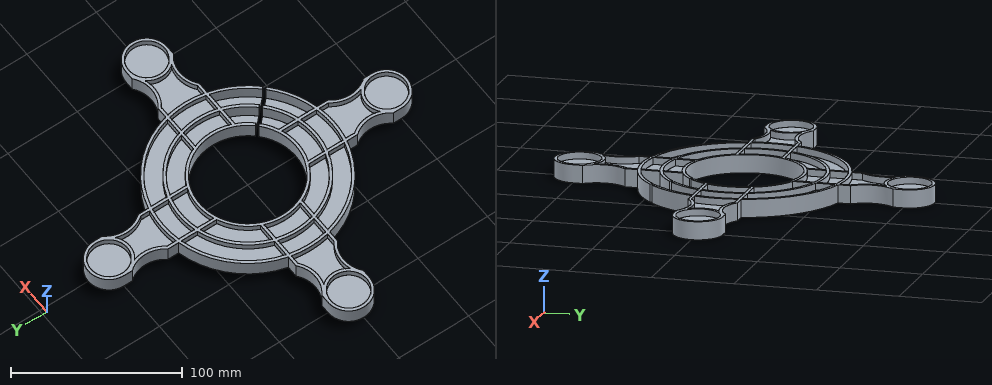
import cadquery as cq
import math

span = 230.0
height = 11.0
wall = 2.0

pocket_depth = 4.1
floor_z = height - pocket_depth
split_floor_z = 2.0

pad_pocket_radius = 26.0 / 2
pad_radius = pad_pocket_radius + wall
pad_distance = span / 2 - pad_radius

bore_radius = 34.5
ring_radius = 62.5
bore_wall_radius = bore_radius + wall
middle_wall_radius = (bore_wall_radius + ring_radius) / 2
ring_wall_radii = [bore_wall_radius, middle_wall_radius, ring_radius]

arm_half_width = pad_radius
neck_center = 81.2
neck_half_length = 12.9
scallop_radius = 20.0
scallop_center_y = arm_half_width + math.sqrt(scallop_radius**2 - neck_half_length**2)

split_width = 2.0
split_angle = -45
arm_angles = [0, 90, 180, 270]


def disc(radius, z_bottom, z_top, x=0):
    """Upright cylinder centred at distance x along the X axis."""
    return cq.Workplane("XY", origin=(x, 0, z_bottom)).circle(radius).extrude(z_top - z_bottom)


def ring_wall(outer_radius, z_bottom):
    """Circular wall standing from z_bottom up to the top face."""
    return disc(outer_radius, z_bottom, height).cut(disc(outer_radius - wall, z_bottom, height))


def arm_strip(half_width, neck_cut_radius, z_bottom, z_top):
    """Straight arm from the part's centre to the pad centre, scalloped on both sides."""
    strip = (
        cq.Workplane("XY", origin=(pad_distance / 2, 0, z_bottom))
        .rect(pad_distance, 2 * half_width)
        .extrude(z_top - z_bottom)
    )
    scallops = (
        cq.Workplane("XY", origin=(neck_center, 0, z_bottom))
        .pushPoints([(0, scallop_center_y), (0, -scallop_center_y)])
        .circle(neck_cut_radius)
        .extrude(z_top - z_bottom)
    )
    return strip.cut(scallops)


def around(body):
    """Union of the body repeated at every arm angle."""
    copies = cq.Workplane("XY")
    for angle in arm_angles:
        copies = copies.union(body.rotate((0, 0, 0), (0, 0, 1), angle))
    return copies


arm = arm_strip(arm_half_width, scallop_radius, 0, height)
pad = disc(pad_radius, 0, height, pad_distance)
plate = disc(ring_radius, 0, height).union(around(arm.union(pad)))

arm_inside = arm_strip(arm_half_width - wall, scallop_radius + wall, floor_z, height)
arm_walls = arm_strip(arm_half_width, scallop_radius, floor_z, height).cut(arm_inside)
pad_wall = disc(pad_radius, floor_z, height, pad_distance)
walls = around(arm_walls.union(pad_wall))
for radius in ring_wall_radii:
    walls = walls.union(ring_wall(radius, floor_z))

pad_pocket = disc(pad_pocket_radius, floor_z, height, pad_distance)
upper_layer = disc(span, floor_z, height)
result = plate.cut(upper_layer).union(walls).cut(around(pad_pocket))

quarter = (
    cq.Workplane("XY", origin=(arm_half_width, -arm_half_width, split_floor_z))
    .rect(span, -span, centered=False)
    .extrude(height - split_floor_z)
)
deep_pockets = disc(ring_radius - wall, split_floor_z, height).intersect(quarter)
for radius in ring_wall_radii[:-1]:
    deep_pockets = deep_pockets.cut(ring_wall(radius, split_floor_z))
result = result.cut(deep_pockets)

split = (
    cq.Workplane("XY")
    .rect(span / 2, split_width)
    .extrude(height)
    .translate((span / 4, 0, 0))
    .rotate((0, 0, 0), (0, 0, 1), split_angle)
)
result = result.cut(disc(bore_radius, 0, height)).cut(split)